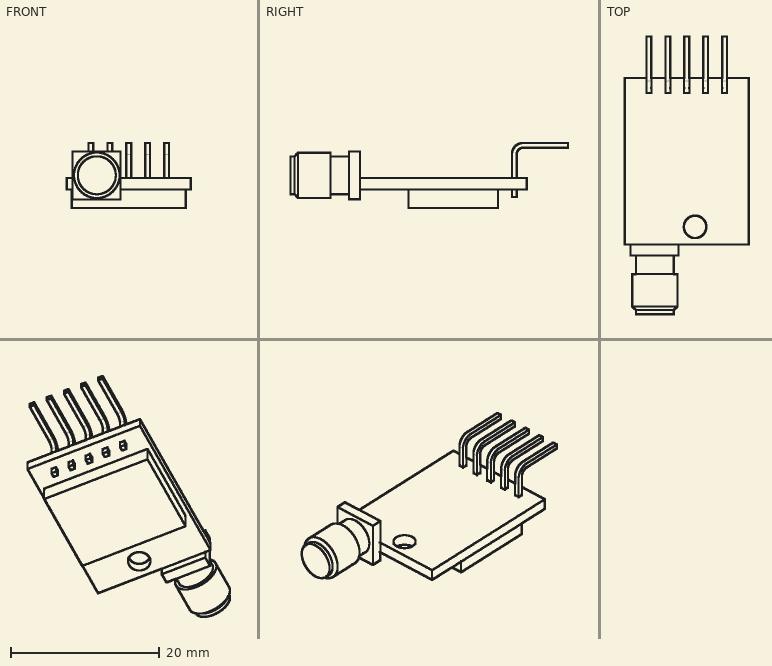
import cadquery as cq

BOARD_WIDTH = 16.75
BOARD_LENGTH = 22.5
BOARD_THICKNESS = 1.6
MOUNT_HOLE_DIAMETER = 3.0
MOUNT_HOLE_X = 1.12
MOUNT_HOLE_Y = 2.4

BLOCK_SIDE_INSET = 0.67
BLOCK_BACK_INSET = 3.85
BLOCK_WIDTH = BOARD_WIDTH - 2 * BLOCK_SIDE_INSET
BLOCK_LENGTH = 12.1
BLOCK_HEIGHT = 2.47

PIN_COUNT = 5
PIN_PITCH = 2.55
PIN_WIDTH = 0.67
PIN_BEND_RADIUS = 1.57
PIN_BACK_INSET = 1.35
PIN_OVERHANG = 5.6
PIN_RISE = 4.72
PIN_TAIL = 1.0
PIN_FRONT_Y = BOARD_LENGTH - PIN_BACK_INSET - PIN_WIDTH
PIN_X_POSITIONS = [(i - (PIN_COUNT - 1) / 2) * PIN_PITCH for i in range(PIN_COUNT)]

FLANGE_SIZE = 6.5
FLANGE_THICKNESS = 1.5
FLANGE_SIDE_INSET = 0.8
FLANGE_X = -BOARD_WIDTH / 2 + FLANGE_SIDE_INSET + FLANGE_SIZE / 2
BARREL_SIDE_SHIFT = 0.05
BARREL_X = FLANGE_X + BARREL_SIDE_SHIFT
AXIS_RISE = 0.35
AXIS_Z = BOARD_THICKNESS + AXIS_RISE
NECK_DIAMETER = 5.15
NECK_LENGTH = 2.47
NUT_DIAMETER = 6.15
NUT_STRAIGHT_LENGTH = 4.4
NUT_TAPER_LENGTH = 0.45
TIP_LENGTH = 0.6


def make_board():
    """Flat board with a mounting hole and a square hole for each pin."""
    board = cq.Workplane("XY").box(
        BOARD_WIDTH, BOARD_LENGTH, BOARD_THICKNESS, centered=(True, False, False)
    )
    mount_hole = (
        cq.Workplane("XY")
        .center(MOUNT_HOLE_X, MOUNT_HOLE_Y)
        .circle(MOUNT_HOLE_DIAMETER / 2)
        .extrude(BOARD_THICKNESS)
    )
    pin_hole_y = PIN_FRONT_Y + PIN_WIDTH / 2
    pin_holes = (
        cq.Workplane("XY")
        .pushPoints([(x, pin_hole_y) for x in PIN_X_POSITIONS])
        .rect(PIN_WIDTH, PIN_WIDTH)
        .extrude(BOARD_THICKNESS)
    )
    return board.cut(mount_hole).cut(pin_holes)


def make_block():
    """Plain rectangular component hanging under the board."""
    front_y = BOARD_LENGTH - BLOCK_BACK_INSET - BLOCK_LENGTH
    return (
        cq.Workplane("XY")
        .box(BLOCK_WIDTH, BLOCK_LENGTH, BLOCK_HEIGHT, centered=(True, False, False))
        .translate((0, front_y, -BLOCK_HEIGHT))
    )


def make_pin(x):
    """Square pin that rises through the board and bends toward +Y."""
    back_y = PIN_FRONT_Y + PIN_WIDTH
    end_y = BOARD_LENGTH + PIN_OVERHANG
    top_z = BOARD_THICKNESS + PIN_RISE
    inner_radius = PIN_BEND_RADIUS - PIN_WIDTH
    bend_y = PIN_FRONT_Y + PIN_BEND_RADIUS
    bend_z = top_z - PIN_BEND_RADIUS
    return (
        cq.Workplane("YZ")
        .moveTo(PIN_FRONT_Y, -PIN_TAIL)
        .lineTo(PIN_FRONT_Y, bend_z)
        .radiusArc((bend_y, top_z), PIN_BEND_RADIUS)
        .lineTo(end_y, top_z)
        .lineTo(end_y, top_z - PIN_WIDTH)
        .lineTo(bend_y, top_z - PIN_WIDTH)
        .radiusArc((back_y, bend_z), -inner_radius)
        .lineTo(back_y, -PIN_TAIL)
        .close()
        .extrude(PIN_WIDTH / 2, both=True)
        .translate((x, 0, 0))
    )


def make_connector():
    """Square flange with a turned barrel pointing toward -Y."""
    flange = (
        cq.Workplane("XZ")
        .center(FLANGE_X, AXIS_Z)
        .rect(FLANGE_SIZE, FLANGE_SIZE)
        .extrude(FLANGE_THICKNESS)
    )
    neck_radius = NECK_DIAMETER / 2
    nut_radius = NUT_DIAMETER / 2
    neck_start = -FLANGE_THICKNESS
    nut_start = neck_start - NECK_LENGTH
    taper_start = nut_start - NUT_STRAIGHT_LENGTH
    tip_start = taper_start - NUT_TAPER_LENGTH
    tip_end = tip_start - TIP_LENGTH
    barrel = (
        cq.Workplane("XY")
        .moveTo(0, neck_start)
        .lineTo(neck_radius, neck_start)
        .lineTo(neck_radius, nut_start)
        .lineTo(nut_radius, nut_start)
        .lineTo(nut_radius, taper_start)
        .lineTo(neck_radius, tip_start)
        .lineTo(neck_radius, tip_end)
        .lineTo(0, tip_end)
        .close()
        .revolve(360, (0, 0, 0), (0, 1, 0))
        .translate((BARREL_X, 0, AXIS_Z))
    )
    return flange.union(barrel)


board = make_board()
block = make_block()
connector = make_connector()
pins = [make_pin(x) for x in PIN_X_POSITIONS]

result = cq.Compound.makeCompound(
    [board.val(), block.val(), connector.val(), *[pin.val() for pin in pins]]
)